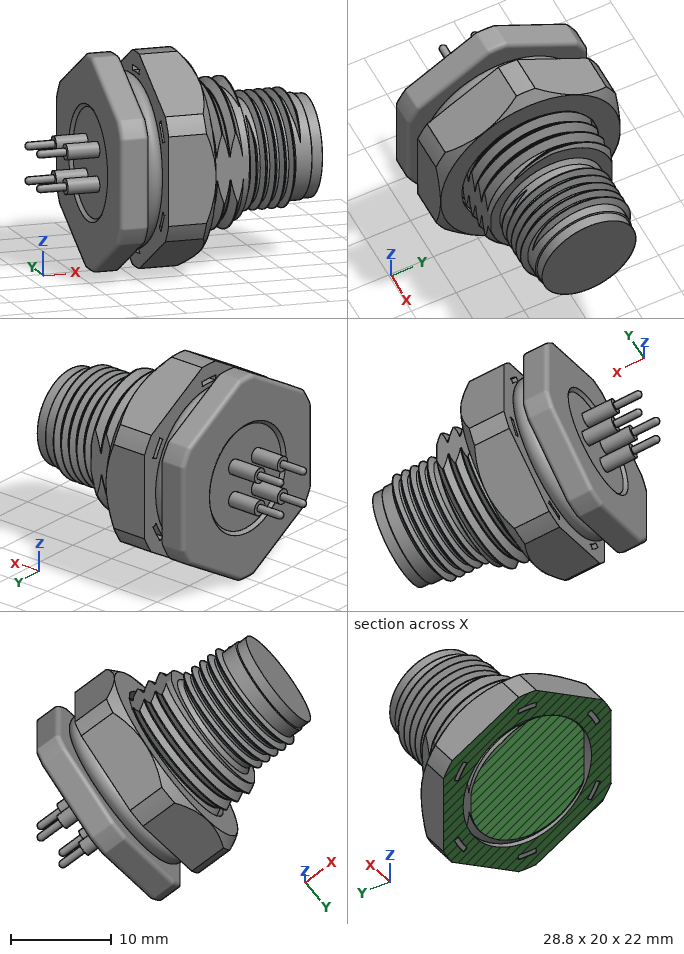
import cadquery as cq
import math


ACROSS_FLATS = 20.02
ACROSS_CORNERS = 22.0

FLANGE_FRONT = 3.0
RING_THICKNESS = 2.02
NUT_REAR = FLANGE_FRONT + RING_THICKNESS
NUT_LENGTH = 4.98
BARREL_FRONT = 14.6
NECK_CONE_LENGTH = 0.5
NOSE_STEP = 21.65
NOSE_STEP_BEVEL = 0.1
NOSE_FRONT = 22.82

FLANGE_FILLET = 0.5
BARREL_ROOT_RADIUS = 6.85
BARREL_FLAT_WIDTH = 13.5
NECK_CONE_RADIUS = 5.75
NOSE_RADIUS = 10.75 / 2
NOSE_TIP_RADIUS = 10.45 / 2
REAR_POCKET_DEPTH = FLANGE_FRONT
POCKET_BEVEL = 0.35

BARREL_CREST_RADIUS = 15.25 / 2
BARREL_PITCH = 1.4
BARREL_TURNS = 6
BARREL_CREST_END = 14.35
BARREL_RIDGE_BASE = 1.3
BARREL_RIDGE_CREST = 0.12

NOSE_CREST_RADIUS = 6.0
NOSE_RIDGE_START = 15.45
NOSE_RIDGE_END = 20.55
NOSE_START_ANGLE = 36
NOSE_RIDGE_BASE = 0.75
NOSE_RIDGE_CREST = 0.1

FADE_TURNS = 0.1
NOSE_TURNS = 5 + FADE_TURNS
FADE_SECTIONS = 4
FADED_SCALE = 0.05
RIDGE_ROOTING = 0.15

JOIN_TOLERANCE = 0.001

RING_OUTER_RADIUS = 8.95

NUT_CHAMFER = 1.0
SLOT_COUNT = 6
SLOT_INNER_RADIUS = 8.93
SLOT_OUTER_RADIUS = 9.45
SLOT_DEPTH = 1.0
SLOT_ANGLE = 13

INSERT_RADIUS = 11.2 / 2
PIN_CIRCLE_RADIUS = 2.5
PIN_COUNT = 4
COLLAR_RADIUS = 1.6 / 2
COLLAR_PROJECTION = 3.0
TAIL_RADIUS = 0.8 / 2
TAIL_PROJECTION = 6.0


def disc(radius, start, end):
    """Solid cylinder on the X axis from start to end."""
    return cq.Workplane("YZ", origin=(start, 0, 0)).circle(radius).extrude(end - start)


def revolved(points):
    """Solid of revolution about the X axis from (x, radius) points."""
    return cq.Workplane("XY").polyline(points).close().revolve(360, (0, 0, 0), (1, 0, 0))


def rounded_hexagon(start, length):
    """Hexagonal prism with flats facing +Y and -Y and its corners turned to a cylinder."""
    corner_diameter = ACROSS_FLATS / math.cos(math.pi / 6)
    hexagon = (
        cq.Workplane("YZ", origin=(start, 0, 0))
        .transformed(rotate=(0, 0, 90))
        .polygon(6, corner_diameter)
        .extrude(length)
    )
    return hexagon.intersect(disc(ACROSS_CORNERS / 2, start, start + length))


def ridge_section(root, crest, base_width, crest_width, x, angle):
    """Trapezoid wire of a thread ridge at x, turned right-handed about X by angle from +Z."""
    foot = root - RIDGE_ROOTING
    outline = [
        (x - base_width / 2, foot),
        (x - base_width / 2, root),
        (x - crest_width / 2, crest),
        (x + crest_width / 2, crest),
        (x + base_width / 2, root),
        (x + base_width / 2, foot),
    ]
    section = cq.Workplane("XZ").polyline(outline).close().val()
    return section.rotate(cq.Vector(0, 0, 0), cq.Vector(1, 0, 0), angle)


def thread_ridge(root, crest, base_width, crest_width, start_x, start_angle, pitch, turns):
    """Right-handed ridge of full height over the given turns, fading out at both ends."""
    helix = cq.Wire.makeHelix(pitch, pitch * turns, root)
    helix = helix.rotate(cq.Vector(0, 0, 0), cq.Vector(0, 1, 0), 90)
    helix = helix.rotate(cq.Vector(0, 0, 0), cq.Vector(1, 0, 0), 180 + start_angle)
    helix = helix.translate(cq.Vector(start_x, 0, 0))
    full = ridge_section(root, crest, base_width, crest_width, start_x, start_angle)
    ridge = cq.Workplane(cq.Solid.sweep(full, [], helix, True, True))

    for end_turn, direction in ((0, -1), (turns, 1)):
        sections = []
        for step in range(FADE_SECTIONS + 1):
            fade = step / FADE_SECTIONS
            turn = end_turn + direction * FADE_TURNS * fade
            scale = 1 - (1 - FADED_SCALE) * fade
            sections.append(
                ridge_section(
                    root,
                    root + (crest - root) * scale,
                    base_width * scale,
                    crest_width * scale,
                    start_x + pitch * turn,
                    start_angle + 360 * turn,
                )
            )
        ridge = ridge.union(cq.Workplane(cq.Solid.makeLoft(sections, False)))
    return ridge


def make_housing():
    """Hex flange, flatted threaded barrel and threaded nose, with a pocket in the rear."""
    flange = rounded_hexagon(0, FLANGE_FRONT).edges().fillet(FLANGE_FILLET)

    barrel = disc(BARREL_ROOT_RADIUS, FLANGE_FRONT, BARREL_FRONT)
    barrel = barrel.union(
        thread_ridge(
            BARREL_ROOT_RADIUS,
            BARREL_CREST_RADIUS,
            BARREL_RIDGE_BASE,
            BARREL_RIDGE_CREST,
            BARREL_CREST_END - BARREL_PITCH * BARREL_TURNS,
            0,
            BARREL_PITCH,
            BARREL_TURNS,
        ),
        tol=JOIN_TOLERANCE,
    )
    barrel_length = BARREL_FRONT - FLANGE_FRONT
    flatted_envelope = cq.Workplane("XY").box(barrel_length, BARREL_FLAT_WIDTH, ACROSS_CORNERS)
    flatted_envelope = flatted_envelope.translate((FLANGE_FRONT + barrel_length / 2, 0, 0))
    barrel = barrel.intersect(flatted_envelope, tol=JOIN_TOLERANCE)

    nose = revolved(
        [
            (BARREL_FRONT, 0),
            (BARREL_FRONT, NECK_CONE_RADIUS),
            (BARREL_FRONT + NECK_CONE_LENGTH, NOSE_RADIUS),
            (NOSE_STEP, NOSE_RADIUS),
            (NOSE_STEP + NOSE_STEP_BEVEL, NOSE_TIP_RADIUS),
            (NOSE_FRONT, NOSE_TIP_RADIUS),
            (NOSE_FRONT, 0),
        ]
    )
    nose_pitch = (NOSE_RIDGE_END - NOSE_RIDGE_START) / NOSE_TURNS
    nose = nose.union(
        thread_ridge(
            NOSE_RADIUS,
            NOSE_CREST_RADIUS,
            NOSE_RIDGE_BASE,
            NOSE_RIDGE_CREST,
            NOSE_RIDGE_START + nose_pitch * FADE_TURNS,
            NOSE_START_ANGLE + 360 * FADE_TURNS,
            nose_pitch,
            NOSE_TURNS - 2 * FADE_TURNS,
        ),
        tol=JOIN_TOLERANCE,
    )

    pocket = revolved(
        [
            (0, 0),
            (0, INSERT_RADIUS + POCKET_BEVEL),
            (POCKET_BEVEL, INSERT_RADIUS),
            (REAR_POCKET_DEPTH, INSERT_RADIUS),
            (REAR_POCKET_DEPTH, 0),
        ]
    )
    return flange.union(barrel).union(nose, tol=JOIN_TOLERANCE).cut(pocket)


def make_sealing_ring():
    """O-ring filling the gap between the flange and the nut."""
    section_radius = RING_THICKNESS / 2
    return (
        cq.Workplane("XY")
        .moveTo(FLANGE_FRONT + section_radius, RING_OUTER_RADIUS - section_radius)
        .circle(section_radius)
        .revolve(360, (0, 0, 0), (1, 0, 0))
    )


def make_nut():
    """Hex nut with a turned front chamfer and short arc slots behind its corners."""
    nut_front = NUT_REAR + NUT_LENGTH
    corner_radius = ACROSS_CORNERS / 2
    turned_blank = revolved(
        [
            (NUT_REAR, 0),
            (NUT_REAR, corner_radius),
            (nut_front - NUT_CHAMFER, corner_radius),
            (nut_front, corner_radius - NUT_CHAMFER),
            (nut_front, 0),
        ]
    )
    nut = rounded_hexagon(NUT_REAR, NUT_LENGTH).intersect(turned_blank)
    nut = nut.cut(disc(BARREL_CREST_RADIUS, NUT_REAR, nut_front))

    slot = (
        cq.Workplane("XY")
        .moveTo(NUT_REAR, SLOT_INNER_RADIUS)
        .rect(SLOT_DEPTH, SLOT_OUTER_RADIUS - SLOT_INNER_RADIUS, centered=False)
        .revolve(SLOT_ANGLE, (0, 0, 0), (1, 0, 0))
    )
    corner_pitch = 360 / SLOT_COUNT
    first_corner = corner_pitch / 2
    for index in range(SLOT_COUNT):
        angle = first_corner + corner_pitch * index - SLOT_ANGLE / 2
        nut = nut.cut(slot.rotate((0, 0, 0), (1, 0, 0), angle))
    return nut


def make_pin(angle):
    """Contact pin with a thick collar and a thin round-ended tail, placed on the pin circle."""
    pin = (
        cq.Workplane("XY")
        .moveTo(-TAIL_PROJECTION, 0)
        .radiusArc((TAIL_RADIUS - TAIL_PROJECTION, TAIL_RADIUS), TAIL_RADIUS)
        .lineTo(-COLLAR_PROJECTION, TAIL_RADIUS)
        .lineTo(-COLLAR_PROJECTION, COLLAR_RADIUS)
        .lineTo(REAR_POCKET_DEPTH, COLLAR_RADIUS)
        .lineTo(REAR_POCKET_DEPTH, 0)
        .close()
        .revolve(360, (0, 0, 0), (1, 0, 0))
    )
    return pin.translate((0, PIN_CIRCLE_RADIUS, 0)).rotate((0, 0, 0), (1, 0, 0), angle)


def make_insert(pins):
    """Disc that fills the rear pocket below its bevel, bored for the pins."""
    insert = disc(INSERT_RADIUS, POCKET_BEVEL, REAR_POCKET_DEPTH)
    for pin in pins:
        insert = insert.cut(pin)
    return insert


housing = make_housing()
sealing_ring = make_sealing_ring()
nut = make_nut()
pins = [make_pin(360 / PIN_COUNT * (index + 0.5)) for index in range(PIN_COUNT)]
insert = make_insert(pins)

result = cq.Compound.makeCompound(
    [
        housing.solids().val(),
        sealing_ring.solids().val(),
        nut.solids().val(),
        insert.solids().val(),
        *[pin.solids().val() for pin in pins],
    ]
)